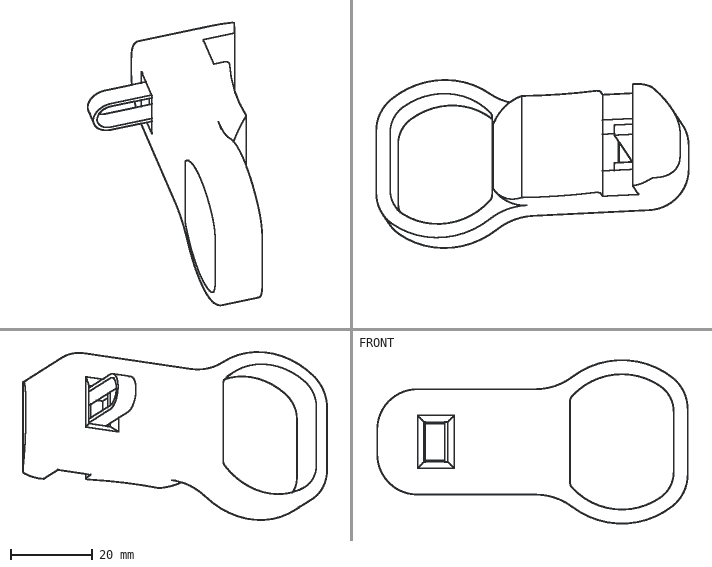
import cadquery as cq
import math


length = 76.5
handle_half_width = 13.0
corner_radius = 9.95
handle_end_x = 39.0
neck_radius = 15.0
ring_diameter = 40.3
ring_radius = ring_diameter / 2
ring_width = 3.5
front_edge_radius = 1.5

ring_x = handle_end_x + math.sqrt(
    (ring_radius + neck_radius) ** 2 - (handle_half_width + neck_radius) ** 2
)
opening_left_x = 47.5
opening_left_radius = 2.0
opening_right_radius = 7.5

ring_depth = 11.1
head_tip_x = 4.9
head_tip_y = 25.4
head_tip_radius = 0.8
head_start_y = 13.55
head_back_x = corner_radius
head_back_y = 24.0
gap_floor_y = 15.9
gap_end_x = 19.0
thumb_radius = 49.95
thumb_low_x = 32.9
thumb_low_y = 18.0
thumb_edge_radius = 1.0
ramp_start_x = 38.8
ramp_end_x = 47.2

window_left_x = 11.55
window_right_x = 17.4
window_half_height = 4.9
window_chamfer = 1.6
front_wall = 3.1
cavity_end_x = 22.2
cavity_half_height = window_half_height + window_chamfer

clip_left_x = 11.8
clip_width = 4.9
clip_half_height = 4.5
clip_thickness = 1.0
clip_tip_y = -14.4
foot_half_height = 6.1
leg_end_y = 12.25


def box(x_range, y_range, half_height):
    """Block spanning the given X and Y ranges, symmetric about Z = 0."""
    x_size = x_range[1] - x_range[0]
    y_size = y_range[1] - y_range[0]
    return cq.Workplane("XY").box(x_size, y_size, 2 * half_height).translate(
        ((x_range[0] + x_range[1]) / 2, (y_range[0] + y_range[1]) / 2, 0)
    )


def extrude_back(outline, depth):
    """Extrude an XZ outline from the front face towards +Y."""
    return outline.extrude(-depth)


def rounded_bar(end_x, depth):
    """Bar from X = 0 to end_x with all four corners rounded."""
    bar = box((0, end_x), (0, depth), handle_half_width)
    return bar.edges("|Y").fillet(corner_radius)


def ring_disc(inset, right_corner_radius, depth):
    """Disc flattened at the right, with rounded corners, inset from the ring's outside."""
    radius = ring_radius - inset
    right_x = length - inset
    disc = extrude_back(cq.Workplane("XZ").center(ring_x, 0).circle(radius), depth)
    trim = box((ring_x - ring_radius, right_x), (0, depth), ring_radius)
    return disc.intersect(trim).edges("|Y and >X").fillet(right_corner_radius)


def neck_outline():
    """Outline joining the handle sides to the ring with two concave arcs."""
    neck_center_z = handle_half_width + neck_radius
    share = neck_radius / (neck_radius + ring_radius)
    join_x = handle_end_x + share * (ring_x - handle_end_x)
    join_z = neck_center_z * (1 - share)
    half_angle = math.asin((join_x - handle_end_x) / neck_radius) / 2
    mid_x = handle_end_x + neck_radius * math.sin(half_angle)
    mid_z = neck_center_z - neck_radius * math.cos(half_angle)
    return (
        cq.Workplane("XZ")
        .moveTo(corner_radius, handle_half_width)
        .lineTo(handle_end_x, handle_half_width)
        .threePointArc((mid_x, mid_z), (join_x, join_z))
        .lineTo(ring_x, 0)
        .lineTo(join_x, -join_z)
        .threePointArc((mid_x, -mid_z), (handle_end_x, -handle_half_width))
        .lineTo(corner_radius, -handle_half_width)
        .close()
    )


def make_plate():
    """Full outline at ring depth, with the front edge rounded."""
    handle = rounded_bar(handle_end_x + corner_radius, ring_depth)
    neck = extrude_back(neck_outline(), ring_depth)
    plate = ring_disc(0, corner_radius, ring_depth).union(neck).union(handle).clean()
    return plate.faces("<Y").edges().fillet(front_edge_radius)


def thumb_y(x):
    """Height of the concave thumb rest at a given X."""
    return thumb_low_y + thumb_radius - math.sqrt(thumb_radius ** 2 - (x - thumb_low_x) ** 2)


def make_raised_back():
    """Head, gap, thumb rest and ramp standing on the back of the handle."""
    profile = (
        cq.Workplane("XY")
        .moveTo(0, front_wall)
        .lineTo(0, head_start_y)
        .lineTo(head_tip_x, head_tip_y)
        .lineTo(head_back_x, head_back_y)
        .lineTo(head_back_x, gap_floor_y)
        .lineTo(gap_end_x, gap_floor_y)
        .lineTo(gap_end_x, thumb_y(gap_end_x))
        .threePointArc((thumb_low_x, thumb_low_y), (ramp_start_x, thumb_y(ramp_start_x)))
        .lineTo(ramp_end_x, ring_depth)
        .lineTo(ramp_end_x, front_wall)
        .close()
        .extrude(handle_half_width, both=True)
    )
    profile = profile.edges(cq.selectors.NearestToPointSelector((head_tip_x, head_tip_y, 0)))
    profile = profile.fillet(head_tip_radius)
    thumb_edge = (gap_end_x, thumb_y(gap_end_x), 0)
    profile = profile.edges(cq.selectors.NearestToPointSelector(thumb_edge)).fillet(thumb_edge_radius)
    return profile.intersect(rounded_bar(ramp_start_x + corner_radius, head_tip_y))


def make_finger_opening():
    """Through opening that follows the ring and has a straight left side."""
    opening = ring_disc(ring_width, opening_right_radius, ring_depth)
    opening = opening.intersect(box((opening_left_x, length), (0, ring_depth), ring_radius))
    return opening.edges("|Y and <X").fillet(opening_left_radius)


def make_clip_cutout():
    """Chamfered window in the front wall, opening into a cavity that reaches the gap."""
    window = box((window_left_x, window_right_x), (0, front_wall), window_half_height)
    window_x = (window_left_x + window_right_x) / 2
    flare = (
        cq.Workplane("XZ")
        .center(window_x, 0)
        .rect(
            window_right_x - window_left_x + 2 * window_chamfer,
            2 * (window_half_height + window_chamfer),
        )
        .workplane(offset=-window_chamfer)
        .rect(window_right_x - window_left_x, 2 * window_half_height)
        .loft(ruled=True)
    )
    cavity = box((head_back_x, cavity_end_x), (front_wall, gap_floor_y), cavity_half_height)
    return window.union(flare).union(cavity)


def make_housing():
    housing = make_plate().union(make_raised_back())
    return housing.cut(make_finger_opening()).cut(make_clip_cutout())


def clip_loop(half_height, tip_y):
    """Solid U shape with a round tip, reaching back into the cavity."""
    bend_y = tip_y + half_height
    return (
        cq.Workplane("YZ", origin=(clip_left_x, 0, 0))
        .moveTo(leg_end_y, half_height)
        .lineTo(bend_y, half_height)
        .threePointArc((tip_y, 0), (bend_y, -half_height))
        .lineTo(leg_end_y, -half_height)
        .close()
        .extrude(clip_width)
    )


def make_clip():
    """Bent strip with two feet turned outward inside the cavity."""
    inner_half_height = clip_half_height - clip_thickness
    clip_x = (clip_left_x, clip_left_x + clip_width)
    foot_y = (leg_end_y - clip_thickness, leg_end_y)
    feet = box(clip_x, foot_y, foot_half_height).cut(box(clip_x, foot_y, inner_half_height))
    loop = clip_loop(clip_half_height, clip_tip_y)
    loop = loop.cut(clip_loop(inner_half_height, clip_tip_y + clip_thickness))
    return loop.union(feet)


housing = make_housing()
clip = make_clip()

result = cq.Compound.makeCompound([housing.val(), clip.val()])